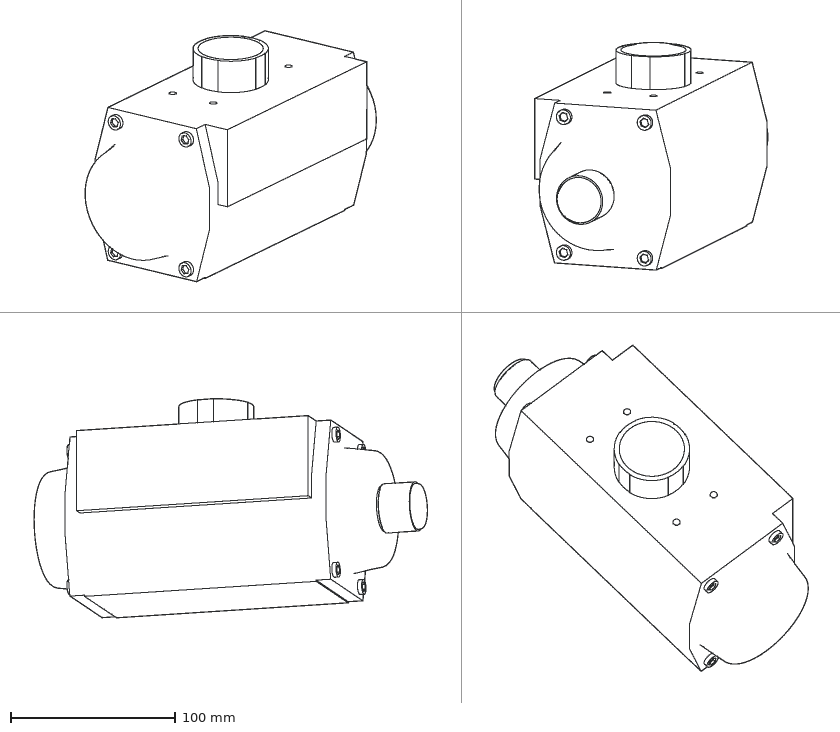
import cadquery as cq
import math


overall_length = 239.0

half_width = 42.5
half_height = 50.0
waist_half_height = 14.0
flank_angle = 15.0
body_half_length = 73.9
plate_half_length = 83.2
plate_bottom_gap = 0.7
arm_reach = 49.5

cap_end = 106.4
cap_base_radius = 40.6
cap_root_radius = 38.5
cap_root_height = 1.2
cap_root_fillet = 2.0
cap_rim_radius = 35.1
cap_shoulder_fillet = 4.3

nose_radius = 15.0
nose_neck_radius = 13.98
nose_neck_end = 107.8
nose_barrel_end = 127.6
nose_collar_end = 129.0
nose_dome_radius = 12.5
nose_dome_start = 130.7
nose_shoulder_fillet = 2.0
nose_tip = overall_length - cap_end

screw_x = 26.3
screw_z = 42.0
screw_head_diameter = 9.0
screw_head_height = 2.6
socket_sides = 6
socket_flats = 5.0
socket_depth = 1.7
socket_turn = 15.0

knob_diameter = 46.0
knob_top = 70.3
dome_diameter = 39.7
dome_top = 74.0
x_strip_width = 10.0
y_strip_width = 12.2
strip_recess = 0.2

mount_hole_x = 15.0
mount_hole_y = 40.0
mount_hole_diameter = 4.3
mount_hole_depth = 7.2
drill_tip_angle = 118.0


def along_y(profile, half_length):
    """Extrude an XZ profile symmetrically about the origin."""
    return profile.extrude(half_length, both=True)


def eight_sided_profile(bottom_z):
    """Section with upright middle flanks that lean inward above and below the waist."""
    inset_per_height = math.tan(math.radians(flank_angle))
    top_x = half_width - (half_height - waist_half_height) * inset_per_height
    bottom_x = half_width - (-bottom_z - waist_half_height) * inset_per_height
    points = [
        (-top_x, half_height),
        (top_x, half_height),
        (half_width, waist_half_height),
        (half_width, -waist_half_height),
        (bottom_x, bottom_z),
        (-bottom_x, bottom_z),
        (-half_width, -waist_half_height),
        (-half_width, waist_half_height),
    ]
    return cq.Workplane("XZ").polyline(points).close()


def make_body():
    core = along_y(eight_sided_profile(-half_height), body_half_length)
    plates = along_y(eight_sided_profile(-half_height + plate_bottom_gap), plate_half_length)
    arm_profile = cq.Workplane("XZ").rect(arm_reach, half_height, centered=False)
    return core.union(plates).union(along_y(arm_profile, body_half_length))


def revolve_about_y(profile):
    return profile.close().revolve(360, (0, 0, 0), (0, 1, 0))


def make_cap():
    """Cap on the +Y end: concave root, tapered wall and rounded shoulder."""
    profile = (
        cq.Workplane("XY")
        .moveTo(0, body_half_length)
        .lineTo(cap_base_radius, body_half_length)
        .lineTo(cap_base_radius, plate_half_length)
        .radiusArc((cap_root_radius, plate_half_length + cap_root_height), cap_root_fillet)
        .lineTo(cap_rim_radius, cap_end)
        .lineTo(0, cap_end)
    )
    return revolve_about_y(profile).faces(">Y").edges().fillet(cap_shoulder_fillet)


def dome_arc(rim_radius, rim_height, crown_height):
    """Middle and crown points of the arc rising from a dome's rim to its axis."""
    rise = crown_height - rim_height
    sphere_radius = (rim_radius**2 + rise**2) / (2 * rise)
    middle_radius = rim_radius / 2
    middle_drop = sphere_radius - math.sqrt(sphere_radius**2 - middle_radius**2)
    return (middle_radius, crown_height - middle_drop), (0, crown_height)


def make_nose():
    """Stepped cylinder with a short neck, a plain barrel and a low domed tip."""
    profile = (
        cq.Workplane("XY")
        .moveTo(0, plate_half_length)
        .lineTo(nose_neck_radius, plate_half_length)
        .lineTo(nose_neck_radius, nose_neck_end)
        .lineTo(nose_radius, nose_neck_end)
        .lineTo(nose_radius, nose_barrel_end)
        .lineTo(nose_neck_radius, nose_barrel_end)
        .lineTo(nose_neck_radius, nose_collar_end)
        .radiusArc((nose_dome_radius, nose_dome_start), -nose_shoulder_fillet)
        .threePointArc(*dome_arc(nose_dome_radius, nose_dome_start, nose_tip))
    )
    return revolve_about_y(profile)


def make_screws():
    """Four socket screw heads on the +Y end plate."""
    corner_diameter = socket_flats / math.cos(math.pi / socket_sides)
    head_top = plate_half_length + screw_head_height
    head = (
        cq.Workplane("XZ", origin=(0, plate_half_length, 0))
        .circle(screw_head_diameter / 2)
        .extrude(-screw_head_height)
    )
    socket = (
        cq.Workplane("XZ", origin=(0, head_top, 0))
        .polygon(socket_sides, corner_diameter)
        .extrude(socket_depth)
        .rotate((0, 0, 0), (0, 1, 0), -socket_turn)
    )
    screw = head.cut(socket)
    screws = cq.Workplane("XY")
    for x in (-screw_x, screw_x):
        for z in (-screw_z, screw_z):
            screws = screws.add(screw.translate((x, 0, z)))
    return screws.combine()


def make_knob():
    """Round post with a shallow strip recessed into each quarter, under a low dome."""
    post_height = knob_top - half_height
    base = cq.Workplane("XY", origin=(0, 0, half_height))
    post = base.circle(knob_diameter / 2).extrude(post_height)
    inner = base.circle(knob_diameter / 2 - strip_recess).extrude(post_height)
    x_strips = base.rect(knob_diameter, x_strip_width).extrude(post_height)
    y_strips = base.rect(y_strip_width, knob_diameter).extrude(post_height)
    strips = x_strips.union(y_strips).cut(inner)
    dome = (
        cq.Workplane("XZ")
        .moveTo(0, half_height)
        .lineTo(dome_diameter / 2, half_height)
        .lineTo(dome_diameter / 2, knob_top)
        .threePointArc(*dome_arc(dome_diameter / 2, knob_top, dome_top))
        .close()
        .revolve(360, (0, 0, 0), (0, 1, 0))
    )
    return post.cut(strips).union(dome)


def make_mount_holes():
    """Blind drilled holes in the top face, with conical bottoms."""
    radius = mount_hole_diameter / 2
    tip_depth = radius / math.tan(math.radians(drill_tip_angle / 2))
    floor_z = half_height - mount_hole_depth
    drill = (
        cq.Workplane("XZ")
        .moveTo(0, half_height)
        .lineTo(radius, half_height)
        .lineTo(radius, floor_z)
        .lineTo(0, floor_z - tip_depth)
        .close()
        .revolve(360, (0, 0, 0), (0, 1, 0))
    )
    holes = cq.Workplane("XY")
    for x in (-mount_hole_x, mount_hole_x):
        for y in (-mount_hole_y, mount_hole_y):
            holes = holes.add(drill.translate((x, y, 0)))
    return holes.combine()


end_fittings = make_cap().union(make_screws())

result = (
    make_body()
    .union(end_fittings)
    .union(end_fittings.mirror("XZ"))
    .union(make_nose())
    .union(make_knob())
    .cut(make_mount_holes())
)